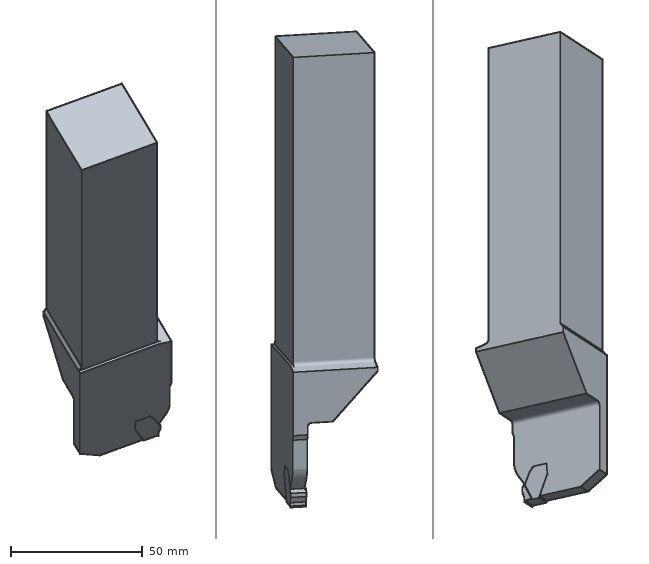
import cadquery as cq

total_height = 177.8
head_width = 33.0
head_depth = 38.5

shank_side = 31.8
shank_front = 1.2

front_bevel_top = 57.5
shoulder_height = 55.8
rear_shoulder_edge = 55.0
rear_shoulder_root = 56.2
rear_fillet = 1.6

slope_top = 53.5
slope_end_x = 17.6
underside_height = 34.5
blade_left = 27.4
blade_fillet = 1.5
blade_bottom = 1.2
blade_rear = 37.9
relief_top = 29.9
relief_bottom = 28.0
rear_curve_top = 16.4
rear_curve_middle = (37.2, 13.7)
rear_curve_end = (36.0, 11.4)
front_chamfer_depth = 8.4
front_chamfer_top = 6.5

tip_left = 26.8
clearance_top = (33.0, 7.3)
clearance_bottom = (30.0, blade_bottom)
tip_corner = (33.0, 0.0)
rake_start = (33.0, 2.0)
rake_bulge = [(34.0, 4.3), (34.0, 5.9)]
insert_heel = (26.8, 0.5)
heel_end = (32.9, 0.5)
insert_outline = [
    (29.3, 14.0),
    (23.5, 14.0),
    (23.1, 9.6),
    insert_heel,
    heel_end,
    tip_corner,
    rake_start,
    *rake_bulge,
    clearance_top,
    (31.1, 11.7),
]
tip_outline = [clearance_bottom, (clearance_bottom[0], heel_end[1]), heel_end, tip_corner,
               rake_start, *rake_bulge, clearance_top]


def make_insert():
    """Flat insert flush with both blade faces, with a cutting tip wider than the blade."""
    plate = (
        cq.Workplane("YZ", origin=(blade_left, 0, 0))
        .polyline(insert_outline)
        .close()
        .extrude(head_width - blade_left)
    )
    tip = (
        cq.Workplane("YZ", origin=(tip_left, 0, 0))
        .polyline(tip_outline)
        .close()
        .extrude(head_width - tip_left)
    )
    return plate.union(tip)


def make_shank():
    return cq.Workplane("XY", origin=(0, shank_front, underside_height)).box(
        shank_side, shank_side, total_height - underside_height, centered=False
    )


def make_side_profile():
    """Head and blade outline in the YZ plane, extruded across the full width."""
    return (
        cq.Workplane("YZ")
        .moveTo(front_chamfer_depth, blade_bottom)
        .lineTo(0, front_chamfer_top)
        .lineTo(0, shoulder_height)
        .lineTo(shank_front, shoulder_height)
        .lineTo(shank_front + shank_side, rear_shoulder_root)
        .lineTo(head_depth, rear_shoulder_edge)
        .lineTo(head_depth, relief_top)
        .lineTo(blade_rear, relief_bottom)
        .lineTo(blade_rear, rear_curve_top)
        .threePointArc(rear_curve_middle, rear_curve_end)
        .lineTo(*clearance_top)
        .lineTo(*clearance_bottom)
        .close()
        .extrude(head_width)
    )


def make_front_profile():
    """Head and blade outline in the XZ plane, sloping in to the thin blade."""
    return (
        cq.Workplane("XZ")
        .moveTo(0, total_height)
        .lineTo(0, slope_top)
        .lineTo(slope_end_x, underside_height)
        .lineTo(blade_left - blade_fillet, underside_height)
        .radiusArc((blade_left, underside_height - blade_fillet), blade_fillet)
        .lineTo(blade_left, 0)
        .lineTo(head_width, 0)
        .lineTo(head_width, total_height)
        .close()
        .extrude(-head_depth)
    )


def make_front_bevel():
    """Sloping wedge that blends the shank into the front of the head."""
    return (
        cq.Workplane("YZ")
        .moveTo(0, shoulder_height)
        .lineTo(shank_front, front_bevel_top)
        .lineTo(shank_front, shoulder_height)
        .close()
        .extrude(shank_side)
    )


def make_holder(insert):
    """Shank, head and blade in one piece, with a seat cut for the insert."""
    body = make_shank().union(make_side_profile()).intersect(make_front_profile())
    rear_corner = cq.selectors.NearestToPointSelector(
        (shank_side / 2, shank_front + shank_side, rear_shoulder_root)
    )
    body = body.edges(rear_corner).fillet(rear_fillet)
    return body.union(make_front_bevel()).cut(insert)


insert = make_insert()
holder = make_holder(insert)
result = cq.Compound.makeCompound([holder.val(), insert.val()])